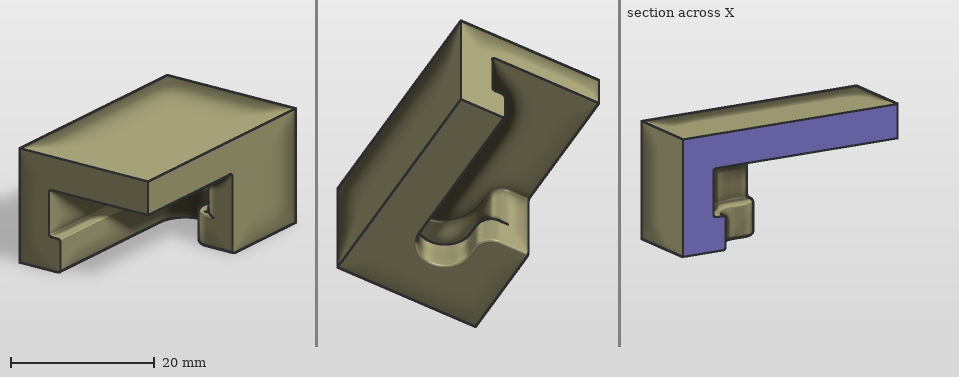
import cadquery as cq
import math

WIDTH, LENGTH, HEIGHT = 22.0, 35.0, 17.0

LEDGE_Z = 5.0
CEILING_Z = 12.0

BAY_X = 11.0
BAY_Y = 24.0
MOUTH_Y = 20.0
WIDE_RADIUS = 6.0
NARROW_RADIUS = 4.0
WIDE_MOUTH_ROUND = 2.0
NARROW_MOUTH_ROUND = 2.5

EDGE_ROUND = 0.5
OVERCUT = 1.75
SELECT_MARGIN = 0.35


def pocket(bay_radius, mouth_round, bottom, top, growth=0):
    """Prism of the pocket plan between two levels, with its walls moved outward by growth."""
    radius = bay_radius + growth
    corner = mouth_round - growth
    mouth = MOUTH_Y + growth
    left = BAY_X - radius
    right = BAY_X + radius
    arc_middle = corner * (1 - math.sqrt(0.5))
    return (
        cq.Workplane("XY", origin=(0, 0, bottom))
        .moveTo(left, -OVERCUT)
        .lineTo(left, BAY_Y)
        .threePointArc((BAY_X, BAY_Y + radius), (right, BAY_Y))
        .lineTo(right, mouth + corner)
        .threePointArc((right + arc_middle, mouth + arc_middle), (right + corner, mouth))
        .lineTo(WIDTH + OVERCUT, mouth)
        .lineTo(WIDTH + OVERCUT, -OVERCUT)
        .close()
        .extrude(top - bottom)
    )


def wide_pocket(bottom, top):
    return pocket(WIDE_RADIUS, WIDE_MOUTH_ROUND, bottom, top)


def narrow_pocket(bottom, top, growth=0):
    return pocket(NARROW_RADIUS, NARROW_MOUTH_ROUND, bottom, top, growth)


def slab(bottom, top):
    """Full-plan layer of the block between two levels."""
    return (
        cq.Workplane("XY", origin=(0, 0, bottom))
        .rect(WIDTH, LENGTH, centered=False)
        .extrude(top - bottom)
    )


lower = slab(0, LEDGE_Z).cut(narrow_pocket(0, LEDGE_Z))
straight_wall_x = BAY_X - NARROW_RADIUS
rim_start = cq.selectors.BoxSelector(
    (straight_wall_x - SELECT_MARGIN, 0, -SELECT_MARGIN),
    (straight_wall_x + SELECT_MARGIN, LENGTH, LEDGE_Z + SELECT_MARGIN),
)
lower = lower.edges(rim_start).edges("|Y").fillet(EDGE_ROUND)

wide = wide_pocket(LEDGE_Z, CEILING_Z).edges(">Z or <Z").fillet(EDGE_ROUND)

rim_clearance = narrow_pocket(LEDGE_Z, LEDGE_Z + EDGE_ROUND, EDGE_ROUND)
rim_clearance = rim_clearance.intersect(wide_pocket(LEDGE_Z, CEILING_Z))
upper = slab(LEDGE_Z, HEIGHT).cut(wide).cut(rim_clearance)

flush_mouth = slab(LEDGE_Z - EDGE_ROUND, LEDGE_Z).cut(
    wide_pocket(LEDGE_Z - EDGE_ROUND, LEDGE_Z)
)

result = lower.union(flush_mouth).union(upper).clean()